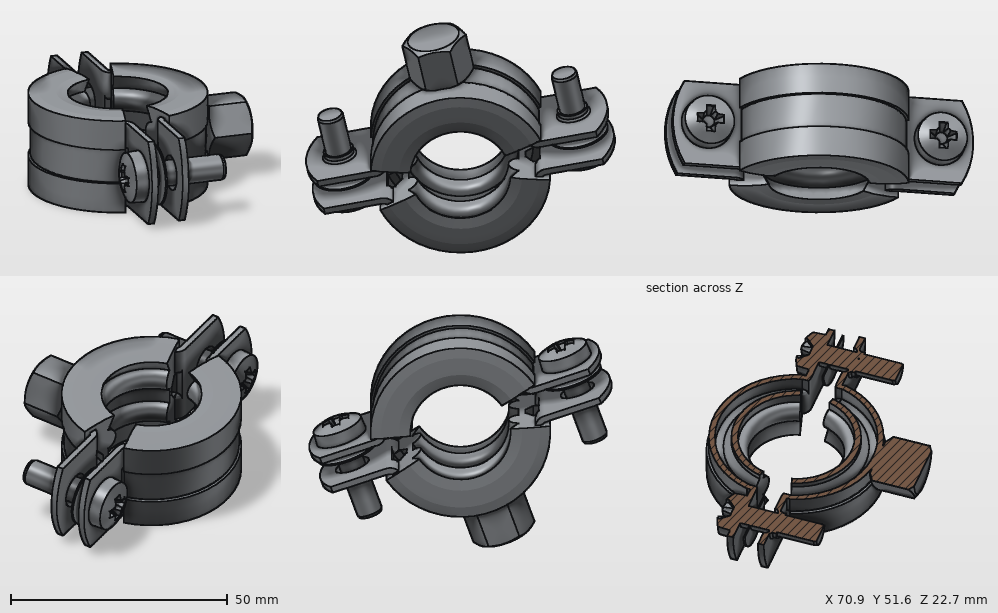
import cadquery as cq
import math

ring_radius = 20.7
ring_height = 22.7
bevel_drop = 0.2
bevel_outer_radius = 18.3
bevel_inner_radius = 14.2
rim_radius = 11.55
rim_drop = 0.3
web_inner_radius = 13.4
web_outer_radius = 15.0
bulge_radius_from_axis = 11.1
bulge_outer_z = 7.6
bulge_inner_z = 2.1
half_arc_angle = 150.0
cut_angle = math.radians((180.0 - half_arc_angle) / 2)

strap_thickness = 1.5
strap_width = 20.0
bead_radius = 20.2
bead_half_width = 4.1
bead_edge_round = 0.5
cavity_half_width = 3.2
cavity_floor_half_width = 1.1
cavity_shoulder_radius = 16.8

part_length = 70.9
part_depth = 51.62
tab_gap = 6.0
tab_end_radius = 20.0
bend_x = 19.3
bend_outer_radius = 3.0
bend_inner_radius = bend_outer_radius - strap_thickness
window_round = 1.0
bead_root_x = 19.45
bead_root_inner_x = 18.0
tab_inner_y = tab_gap / 2
tab_outer_y = tab_inner_y + strap_thickness

collar_diameter = 7.0
collar_base_diameter = 7.9
collar_flare_y = 5.05
collar_top_y = 5.95
collar_mouth_round = 1.05

screw_x = 27.5
shank_diameter = 6.0
tip_diameter = 5.5
tip_length = 0.65
screw_end_y = 15.55
head_diameter = 12.0
head_edge_diameter = 11.6
head_edge_y = -7.5
head_top_y = -9.0
washer_diameter = 14.0
washer_thickness = 0.4
washer_y = -0.65

recess_mouth_width = 2.2
recess_slot_width = 0.8
recess_tip_radius = 3.15
recess_tip_depth = 1.1
recess_floor_radius = 1.4
recess_core_radius = 1.95
recess_depth = 2.9

nut_across_flats = 13.0
nut_bottom_y = 19.8
nut_top_y = part_depth - ring_radius
nut_top_face_radius = 6.0
nut_bottom_face_radius = 5.3
nut_chamfer_angle = math.radians(30)


def ring_section():
    """Lined ring cross-section in the XZ plane, X being the distance from the ring axis."""
    top = ring_height / 2
    bulge_mid_z = (bulge_outer_z + bulge_inner_z) / 2
    bead_flat_z = bead_half_width - bead_edge_round
    bead_edge_radius = bead_radius - bead_edge_round
    return (
        cq.Workplane("XZ")
        .moveTo(bead_radius, -bead_flat_z)
        .lineTo(bead_radius, bead_flat_z)
        .radiusArc((bead_edge_radius, bead_half_width), -bead_edge_round)
        .lineTo(ring_radius, bead_half_width)
        .lineTo(ring_radius, top - bevel_drop)
        .lineTo(bevel_outer_radius, top)
        .lineTo(bevel_inner_radius, top)
        .lineTo(rim_radius, top - rim_drop)
        .lineTo(web_inner_radius, bulge_outer_z)
        .threePointArc((bulge_radius_from_axis, bulge_mid_z), (web_inner_radius, bulge_inner_z))
        .lineTo(web_inner_radius, -bulge_inner_z)
        .threePointArc((bulge_radius_from_axis, -bulge_mid_z), (web_inner_radius, -bulge_outer_z))
        .lineTo(rim_radius, rim_drop - top)
        .lineTo(bevel_inner_radius, -top)
        .lineTo(bevel_outer_radius, -top)
        .lineTo(ring_radius, bevel_drop - top)
        .lineTo(ring_radius, -bead_half_width)
        .lineTo(bead_edge_radius, -bead_half_width)
        .radiusArc((bead_radius, -bead_flat_z), -bead_edge_round)
        .close()
    )


def cavity_section():
    """Hollow between the thin web of the lining and the raised bead of the strap."""
    bead_inner_radius = bead_radius - strap_thickness
    return (
        cq.Workplane("XZ")
        .moveTo(web_outer_radius, -cavity_floor_half_width)
        .lineTo(web_outer_radius, cavity_floor_half_width)
        .lineTo(cavity_shoulder_radius, cavity_half_width)
        .lineTo(bead_inner_radius, cavity_half_width)
        .lineTo(bead_inner_radius, -cavity_half_width)
        .lineTo(cavity_shoulder_radius, -cavity_half_width)
        .close()
    )


def sweep_half(section):
    """Revolve a section through the arc of the half ring on the +Y side."""
    start = math.degrees(cut_angle)
    swept = section.revolve(half_arc_angle, (0, 0, 0), (0, 1, 0))
    return swept.rotate((0, 0, 0), (0, 0, 1), start)


def tab():
    """Right-hand tab of the +Y half, bent into the ring and rounded at its free end."""
    bend_y = tab_inner_y + bend_outer_radius

    def on_bend(radius, angle):
        return (bend_x - radius * math.sin(angle), bend_y - radius * math.cos(angle))

    bend_end = math.pi / 2 - cut_angle
    flange = (
        cq.Workplane("XY")
        .moveTo(part_length / 2, tab_inner_y)
        .lineTo(bend_x, tab_inner_y)
        .threePointArc(on_bend(bend_outer_radius, bend_end / 2), on_bend(bend_outer_radius, bend_end))
        .lineTo(*on_bend(bend_inner_radius, bend_end))
        .threePointArc(on_bend(bend_inner_radius, bend_end / 2), (bend_x, tab_outer_y))
        .lineTo(part_length / 2, tab_outer_y)
        .close()
        .extrude(strap_width / 2, both=True)
    )
    end_disc = (
        cq.Workplane("XZ")
        .center(part_length / 2 - tab_end_radius, 0)
        .circle(tab_end_radius)
        .extrude(-2 * bend_y)
    )
    bend_window = cq.Workplane("XY").box(
        2 * bead_root_inner_x, 2 * ring_radius, 2 * cavity_half_width
    )
    bead_end_y = bead_root_x * math.tan(cut_angle)
    bead_root = (
        cq.Workplane("XY")
        .moveTo(bead_root_inner_x, tab_inner_y + strap_thickness / 2)
        .lineTo(bead_root_x, tab_inner_y + strap_thickness / 2)
        .lineTo(bead_root_x, bead_end_y)
        .lineTo(bead_root_inner_x, bead_root_inner_x * math.tan(cut_angle))
        .close()
        .extrude(bead_half_width, both=True)
        .edges("|Y and >X")
        .fillet(bead_edge_round)
    )
    bent_tab = flange.intersect(end_disc).cut(bend_window)
    window_mouth = cq.selectors.BoxSelector(
        (0, 0, -bead_half_width), (bend_x, bend_y, bead_half_width)
    )
    bent_tab = bent_tab.edges(window_mouth).edges("%CIRCLE").edges("<Y").fillet(window_round)
    return bent_tab.union(bead_root)


def mirrored_pair(body):
    """Body together with its mirror image on the other side of the ring."""
    return body.union(body.mirror("YZ"))


def clamp_half():
    """Half ring on the +Y side with its two tabs."""
    half = sweep_half(ring_section()).union(mirrored_pair(tab()))
    return half.cut(sweep_half(cavity_section()))


def turned_on_screw_axis(points):
    """Solid of revolution about the right-hand screw axis from (radius, y) points."""
    outline = cq.Workplane("XY").polyline(points).close()
    return outline.revolve(360, (0, 0, 0), (0, 1, 0)).translate((screw_x, 0, 0))


def collar():
    """Flared collar on the outer face of the +Y tab, closed onto the shank."""
    return turned_on_screw_axis([
        (0, tab_inner_y),
        (collar_base_diameter / 2, tab_inner_y),
        (collar_base_diameter / 2, tab_outer_y),
        (collar_diameter / 2, collar_flare_y),
        (collar_diameter / 2, collar_top_y),
        (0, collar_top_y),
    ])


def collar_mouth():
    """Cutter for the bell-shaped mouth around the shank on the inner face of the +Y tab."""
    shank_radius = shank_diameter / 2
    return (
        cq.Workplane("XY")
        .moveTo(shank_radius, tab_inner_y)
        .lineTo(shank_radius + collar_mouth_round, tab_inner_y)
        .radiusArc((shank_radius, tab_inner_y + collar_mouth_round), -collar_mouth_round)
        .close()
        .revolve(360, (0, 0, 0), (0, 1, 0))
        .translate((screw_x, 0, 0))
    )


def cross_recess():
    """Cutter for the recess: two crossed arms with sloped ends and flanks around a conical core."""
    floor_y = head_top_y + recess_depth
    core = turned_on_screw_axis([
        (0, head_top_y),
        (recess_core_radius, head_top_y),
        (recess_floor_radius, floor_y),
        (0, floor_y),
    ])
    tip_floor_y = head_top_y + recess_tip_depth
    arm_outline = (
        cq.Workplane("XY")
        .moveTo(-recess_tip_radius, head_top_y)
        .lineTo(recess_tip_radius, head_top_y)
        .lineTo(recess_tip_radius, tip_floor_y)
        .lineTo(recess_floor_radius, floor_y)
        .lineTo(-recess_floor_radius, floor_y)
        .lineTo(-recess_tip_radius, tip_floor_y)
        .close()
        .extrude(recess_mouth_width / 2, both=True)
    )
    slot = (
        cq.Workplane("ZY")
        .moveTo(-recess_mouth_width / 2, head_top_y)
        .lineTo(recess_mouth_width / 2, head_top_y)
        .lineTo(recess_slot_width / 2, floor_y)
        .lineTo(-recess_slot_width / 2, floor_y)
        .close()
        .extrude(recess_tip_radius, both=True)
    )
    arm = arm_outline.intersect(slot)
    arms = arm.union(arm.rotate((0, 0, 0), (0, 1, 0), 90))
    return arms.translate((screw_x, 0, 0)).union(core)


def screw():
    """Pan-head screw along Y with a conical tip."""
    head_base_y = -tab_outer_y
    edge_radius = head_edge_diameter / 2
    dome_height = head_edge_y - head_top_y
    dome_radius = (edge_radius**2 + dome_height**2) / (2 * dome_height)
    dome_mid_x = edge_radius / 2
    dome_mid_y = head_top_y + dome_radius - math.sqrt(dome_radius**2 - dome_mid_x**2)
    body = (
        cq.Workplane("XY")
        .moveTo(0, head_top_y)
        .threePointArc((dome_mid_x, dome_mid_y), (edge_radius, head_edge_y))
        .lineTo(head_diameter / 2, head_base_y)
        .lineTo(shank_diameter / 2, head_base_y)
        .lineTo(shank_diameter / 2, screw_end_y - tip_length)
        .lineTo(tip_diameter / 2, screw_end_y)
        .lineTo(0, screw_end_y)
        .close()
        .revolve(360, (0, 0, 0), (0, 1, 0))
        .translate((screw_x, 0, 0))
    )
    return body.cut(cross_recess())


def washer():
    """Thin flat washer carried on the shank between the tabs."""
    low = washer_y - washer_thickness / 2
    high = washer_y + washer_thickness / 2
    rim = washer_diameter / 2
    return turned_on_screw_axis([(0, low), (rim, low), (rim, high), (0, high)])


def nut():
    """Hexagonal nut standing on the strap, corners along X, both ends chamfered."""
    corner_radius = nut_across_flats / 2 / math.cos(math.pi / 6)
    chamfer_slope = math.tan(nut_chamfer_angle)
    top_chamfer_height = (corner_radius - nut_top_face_radius) * chamfer_slope
    bottom_chamfer_height = (corner_radius - nut_bottom_face_radius) * chamfer_slope
    hexagon = (
        cq.Workplane("XZ", origin=(0, nut_bottom_y, 0))
        .polygon(6, 2 * corner_radius)
        .extrude(nut_bottom_y - nut_top_y)
    )
    envelope = (
        cq.Workplane("XY")
        .moveTo(0, nut_bottom_y)
        .lineTo(nut_bottom_face_radius, nut_bottom_y)
        .lineTo(corner_radius, nut_bottom_y + bottom_chamfer_height)
        .lineTo(corner_radius, nut_top_y - top_chamfer_height)
        .lineTo(nut_top_face_radius, nut_top_y)
        .lineTo(0, nut_top_y)
        .close()
        .revolve(360, (0, 0, 0), (0, 1, 0))
    )
    return hexagon.intersect(envelope)


upper_half = clamp_half()
lower_half = upper_half.mirror("XZ")
fasteners = mirrored_pair(screw().union(washer()).union(collar()))
clamp = upper_half.union(nut()).union(fasteners).union(lower_half)
result = clamp.cut(mirrored_pair(collar_mouth()))